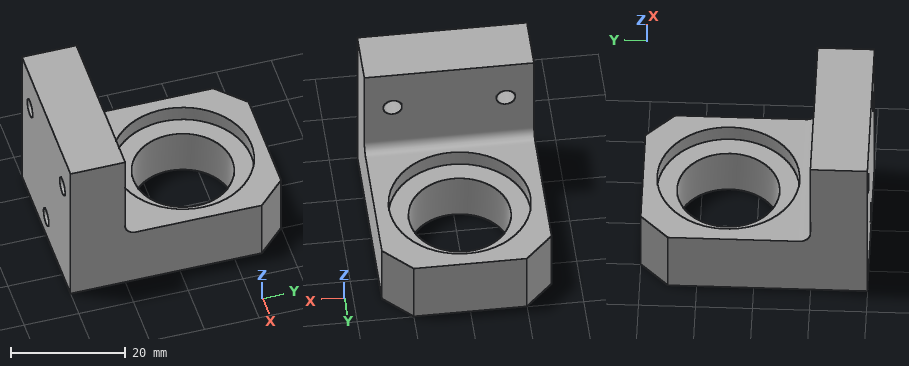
import cadquery as cq
import math

width = 30.0
length = 40.0
height = 30.0
base_thickness = 12.0
wall_thickness = 10.0
inner_fillet = 2.0
corner_chamfer = 5.0

bore_diameter = 18.0
seat_diameter = 25.0
seat_depth = 3.0
bore_y = length - width / 2

hole_diameter = 3.3
mount_spacing = 20.0
mount_z = 22.0
lower_hole_z = 4.5
lower_hole_depth = 10.0
drill_point_angle = 118.0


def bracket_body():
    """L-shaped profile extruded across the width, centred on X = 0."""
    profile = [
        (0, 0),
        (length, 0),
        (length, base_thickness),
        (wall_thickness, base_thickness),
        (wall_thickness, height),
        (0, height),
    ]
    body = cq.Workplane("YZ").polyline(profile).close().extrude(width / 2, both=True)
    inner_corner = cq.selectors.NearestToPointSelector((0, wall_thickness, base_thickness))
    body = body.edges("|X").edges(inner_corner).fillet(inner_fillet)
    return body.edges("|Z and >Y").chamfer(corner_chamfer)


def vertical_cylinder(diameter, bottom, top):
    """Cylinder on the bore axis between two heights."""
    return cq.Workplane("XY", origin=(0, bore_y, bottom)).circle(diameter / 2).extrude(top - bottom)


def front_hole(x, z, depth):
    """Cylinder running from the front face along +Y."""
    return cq.Workplane("XZ", origin=(x, 0, z)).circle(hole_diameter / 2).extrude(-depth)


def drilled_hole(x, z, depth):
    """Blind front hole with full diameter to the given depth, then a conical drill point."""
    radius = hole_diameter / 2
    point_length = radius / math.tan(math.radians(drill_point_angle / 2))
    point = cq.Solid.makeCone(radius, 0, point_length, pnt=cq.Vector(x, depth, z), dir=cq.Vector(0, 1, 0))
    return front_hole(x, z, depth).union(cq.Workplane(point))


result = bracket_body()
result = result.cut(vertical_cylinder(bore_diameter, 0, base_thickness))
result = result.cut(vertical_cylinder(seat_diameter, base_thickness - seat_depth, base_thickness))
for side in (-1, 1):
    result = result.cut(front_hole(side * mount_spacing / 2, mount_z, wall_thickness))
result = result.cut(drilled_hole(0, lower_hole_z, lower_hole_depth))